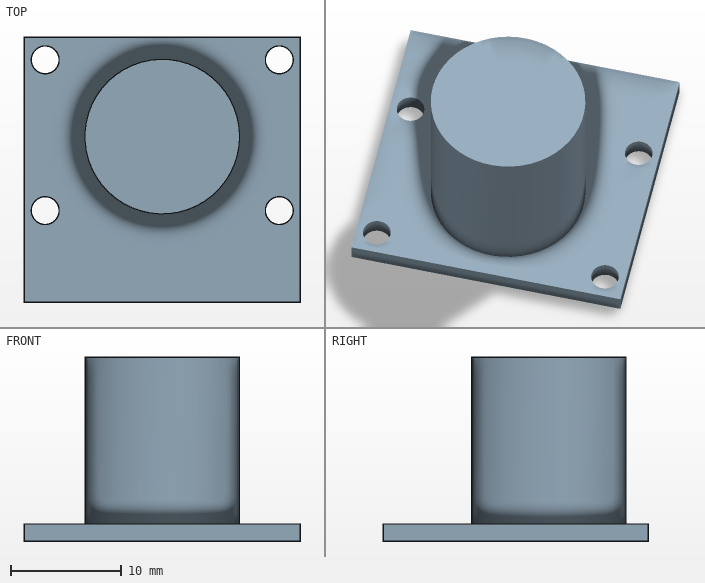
import cadquery as cq

plate_width = 25.0
plate_depth = 24.0
plate_thickness = 1.6

total_height = 16.7
boss_diameter = 14.0
boss_from_back_edge = 9.0

hole_diameter = 2.5
hole_spacing_x = 21.2
hole_spacing_y = 13.65
back_holes_from_edge = 2.05

back_edge_y = plate_depth / 2
boss_y = back_edge_y - boss_from_back_edge
hole_pattern_y = back_edge_y - back_holes_from_edge - hole_spacing_y / 2


def make_plate():
    """Rectangular plate centred on the Z axis, with its underside at Z = 0."""
    return cq.Workplane("XY").box(
        plate_width, plate_depth, plate_thickness, centered=(True, True, False)
    )


def make_boss():
    """Solid cylinder running from the underside of the plate to the full height."""
    return cq.Workplane("XY").center(0, boss_y).circle(boss_diameter / 2).extrude(total_height)


def make_holes():
    """Four through-hole cutters in a rectangular pattern."""
    return (
        cq.Workplane("XY")
        .center(0, hole_pattern_y)
        .rarray(hole_spacing_x, hole_spacing_y, 2, 2)
        .circle(hole_diameter / 2)
        .extrude(plate_thickness)
    )


result = make_plate().union(make_boss()).cut(make_holes())